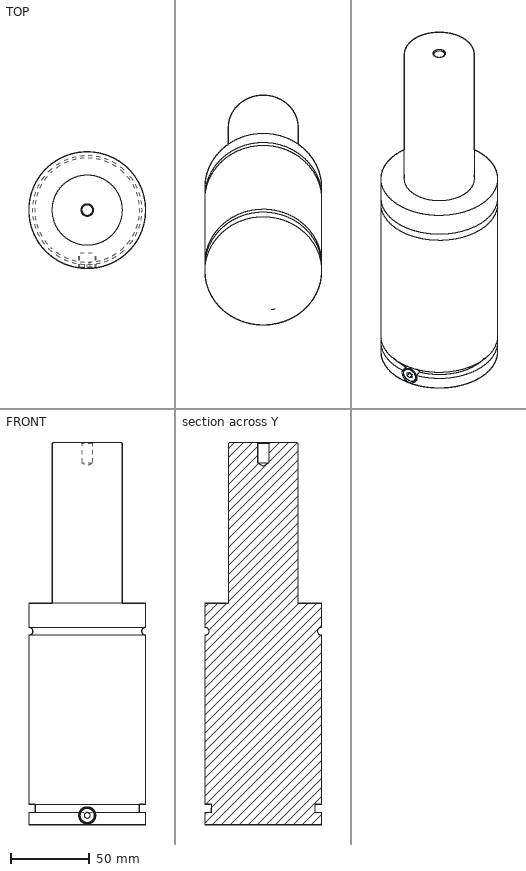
import cadquery as cq
import math

total_height = 245.0
body_diameter = 75.0
body_height = 142.0
rod_diameter = 45.0
rod_edge_radius = 1.0

round_groove_radius = 2.5
round_groove_below_top = 18.0
round_groove_center_z = body_height - round_groove_below_top

base_flange_height = 8.0
square_groove_width = 5.0
square_groove_diameter = 67.0

rod_hole_diameter = 6.8
rod_hole_mouth_diameter = 8.0
rod_hole_depth = 13.0
drill_point_angle = 118.0

port_diameter = 11.0
port_depth = 10.0
port_center_z = 6.0
plug_diameter = 10.0
plug_chamfer = 0.5
plug_face_recess = 0.5
plug_face_offset = body_diameter / 2 - plug_face_recess
socket_across_flats = 3.5
socket_depth = 3.0


def make_body_and_rod():
    """Revolve the half outline of the body, its two grooves and the rod."""
    body_radius = body_diameter / 2
    rod_radius = rod_diameter / 2
    groove_floor = square_groove_diameter / 2
    groove_top_z = base_flange_height + square_groove_width
    outline = (
        cq.Workplane("XZ")
        .lineTo(body_radius, 0)
        .lineTo(body_radius, base_flange_height)
        .lineTo(groove_floor, base_flange_height)
        .lineTo(groove_floor, groove_top_z)
        .lineTo(body_radius, groove_top_z)
        .lineTo(body_radius, round_groove_center_z - round_groove_radius)
        .threePointArc(
            (body_radius - round_groove_radius, round_groove_center_z),
            (body_radius, round_groove_center_z + round_groove_radius),
        )
        .lineTo(body_radius, body_height)
        .lineTo(rod_radius, body_height)
        .lineTo(rod_radius, total_height - rod_edge_radius)
        .radiusArc((rod_radius - rod_edge_radius, total_height), -rod_edge_radius)
        .lineTo(0, total_height)
        .close()
    )
    return outline.revolve(360, (0, 0, 0), (0, 1, 0))


def make_rod_hole():
    """Blind hole with a 45 degree countersunk mouth and a drill-point bottom."""
    hole_radius = rod_hole_diameter / 2
    mouth_radius = rod_hole_mouth_diameter / 2
    floor_z = total_height - rod_hole_depth
    point_depth = hole_radius / math.tan(math.radians(drill_point_angle / 2))
    outline = (
        cq.Workplane("XZ")
        .moveTo(0, total_height)
        .lineTo(mouth_radius, total_height)
        .lineTo(hole_radius, total_height - (mouth_radius - hole_radius))
        .lineTo(hole_radius, floor_z)
        .lineTo(0, floor_z - point_depth)
        .close()
    )
    return outline.revolve(360, (0, 0, 0), (0, 1, 0))


def port_workplane(distance_from_axis):
    """Plane across the port axis, facing outwards along -Y."""
    return cq.Workplane("XZ", origin=(0, -distance_from_axis, port_center_z))


def make_port():
    """Round pocket cut into the side of the base to receive the plug."""
    return port_workplane(body_diameter / 2).circle(port_diameter / 2).extrude(-port_depth)


def make_plug():
    """Chamfered round plug on the port floor, with a hexagon socket in its face."""
    port_floor_offset = body_diameter / 2 - port_depth
    plug_length = plug_face_offset - port_floor_offset
    plug = port_workplane(port_floor_offset).circle(plug_diameter / 2).extrude(plug_length)
    socket_across_corners = socket_across_flats / math.cos(math.pi / 6)
    socket = (
        port_workplane(plug_face_offset)
        .transformed(rotate=(0, 0, 90))
        .polygon(6, socket_across_corners)
        .extrude(-socket_depth)
    )
    return plug.faces("<Y").chamfer(plug_chamfer).cut(socket)


cylinder = make_body_and_rod().cut(make_rod_hole()).cut(make_port())
result = cylinder.union(make_plug())